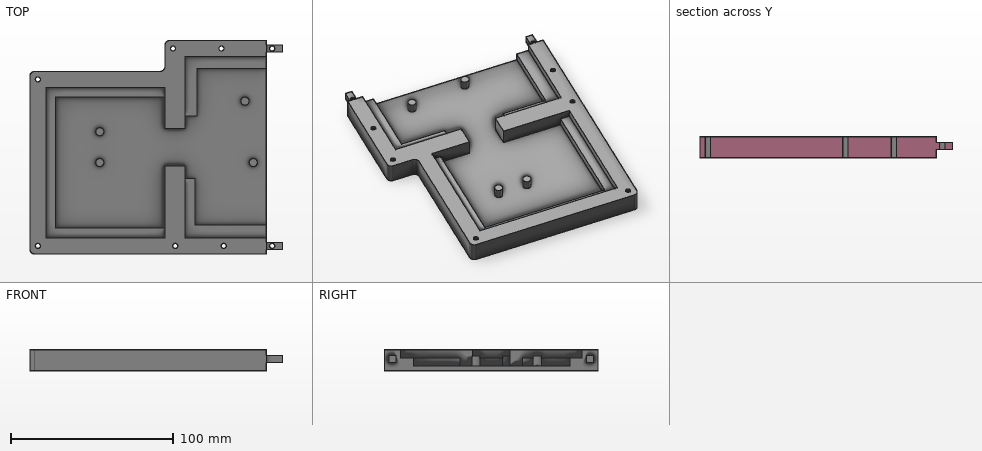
import cadquery as cq

plate_length = 145.72
plate_depth = 131.54
height = 13.0
floor_thickness = 3.0
wall = 10.0
corner_radius = 3.0

step_x = 83.2
left_depth = 112.5

divider_end_x = 95.5
passage_front_y = 54.3
passage_rear_y = 77.3

ledge_top = 8.0
left_ledge_width = 5.9
front_ledge_right_x = 101.7
front_ledge_depth = 7.8
front_ledge_end_y = 46.4
rear_ledge_width = 7.3
rear_ledge_end_y = 85.1

pin_diameter = 5.0
pin_height = 6.0
left_pin_x = 43.1
front_pin_y = 56.3
pin_centers = [(left_pin_x, front_pin_y), (left_pin_x, 75.3), (132.5, 94.1), (137.6, front_pin_y)]

hole_diameter = 3.0
hole_inset = 5.0
hole_pitch = 29.8
front_hole_x = 89.6
rear_hole_x = step_x + hole_inset

tab_length = 10.0
tab_size = 4.5
tab_bottom = 5.0
tab_hole_offset = 3.5

front_row_y = hole_inset
rear_row_y = plate_depth - hole_inset
tab_rows = [front_row_y, rear_row_y]


def block(x0, x1, y0, y1, z0, z1):
    """Axis-aligned box between two opposite corners."""
    return cq.Workplane("XY").box(x1 - x0, y1 - y0, z1 - z0, centered=False).translate((x0, y0, z0))


def cylinders(centers, diameter, z0, z1):
    """Vertical cylinders on the given centres."""
    return cq.Workplane("XY", origin=(0, 0, z0)).pushPoints(centers).circle(diameter / 2).extrude(z1 - z0)


def make_body():
    """Stepped plate with its left-hand vertical corners and the step rounded."""
    outline = [
        (0, 0),
        (plate_length, 0),
        (plate_length, plate_depth),
        (step_x, plate_depth),
        (step_x, left_depth),
        (0, left_depth),
    ]
    body = cq.Workplane("XY").polyline(outline).close().extrude(height)
    return body.edges("|Z and (not >X)").fillet(corner_radius)


def make_cavity():
    """Two bays joined by the passage; the right bay is open at the right end."""
    left_bay = block(wall, step_x, wall, left_depth - wall, floor_thickness, height)
    right_bay = block(divider_end_x, plate_length, wall, plate_depth - wall, floor_thickness, height)
    passage = block(step_x, divider_end_x, passage_front_y, passage_rear_y, floor_thickness, height)
    return left_bay.union(right_bay).union(passage)


def make_left_ledge():
    """U-shaped ledge along the left, front and rear walls of the left bay."""
    rear_y = left_depth - wall
    ledge = block(wall, step_x, wall, rear_y, floor_thickness, ledge_top)
    inner = wall + left_ledge_width
    return ledge.cut(block(inner, step_x, inner, rear_y - left_ledge_width, floor_thickness, ledge_top))


def make_right_ledges():
    """L-shaped ledges in the front and rear corners of the right bay."""
    front_y = wall
    rear_y = plate_depth - wall
    front_inner_y = front_y + front_ledge_depth
    rear_inner_y = rear_y - rear_ledge_width
    rear_ledge_right_x = divider_end_x + rear_ledge_width
    front_run = block(divider_end_x, plate_length, front_y, front_inner_y, floor_thickness, ledge_top)
    front_leg = block(divider_end_x, front_ledge_right_x, front_y, front_ledge_end_y, floor_thickness, ledge_top)
    rear_run = block(divider_end_x, plate_length, rear_inner_y, rear_y, floor_thickness, ledge_top)
    rear_leg = block(divider_end_x, rear_ledge_right_x, rear_ledge_end_y, rear_y, floor_thickness, ledge_top)
    return front_run.union(front_leg).union(rear_run).union(rear_leg)


def make_tabs():
    """Square bars standing out from the right end, in line with the hole rows."""
    tabs = cq.Workplane("XY")
    for row_y in tab_rows:
        front_y = row_y - tab_size / 2
        rear_y = row_y + tab_size / 2
        tab_end_x = plate_length + tab_length
        tab = block(plate_length, tab_end_x, front_y, rear_y, tab_bottom, tab_bottom + tab_size)
        tabs = tabs.union(tab)
    return tabs


def make_holes():
    """Screw holes in the walls and the tabs."""
    centers = [(hole_inset, hole_inset), (hole_inset, left_depth - hole_inset)]
    for first_x, row_y in [(front_hole_x, front_row_y), (rear_hole_x, rear_row_y)]:
        centers += [(first_x, row_y), (first_x + hole_pitch, row_y)]
    for row_y in tab_rows:
        centers.append((plate_length + tab_hole_offset, row_y))
    return cylinders(centers, hole_diameter, 0, height)


pins = cylinders(pin_centers, pin_diameter, floor_thickness, floor_thickness + pin_height)

tray = make_body().cut(make_cavity())
tray = tray.union(make_left_ledge()).union(make_right_ledges()).union(pins).union(make_tabs())
result = tray.cut(make_holes())